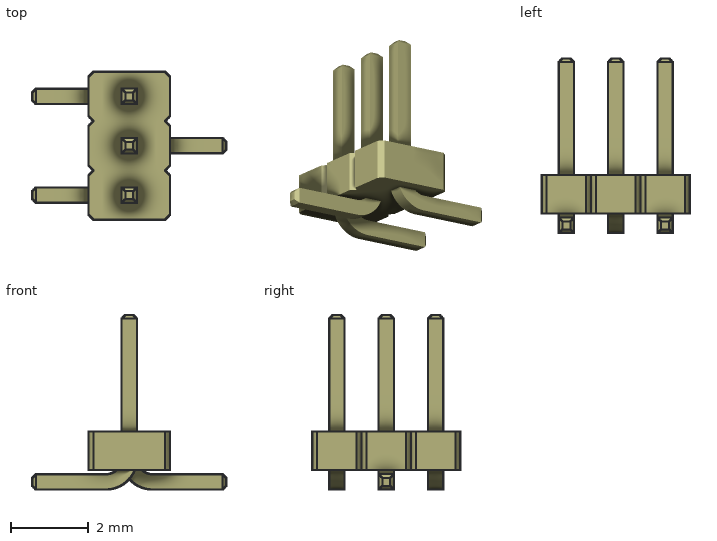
import cadquery as cq

pin_count = 3
pitch = 1.27
housing_width = 2.1
housing_height = 1.0
standoff = 0.5
cell_chamfer = 0.127

pin_size = 0.4
tip_chamfer = 0.1
overall_height = 4.5
foot_span = 5.0
bend_inner_radius = 0.4

bend_mid_radius = bend_inner_radius + pin_size / 2


def make_cell(y):
    """Housing block around one pin, with its four vertical edges chamfered."""
    return (
        cq.Workplane("XY")
        .box(housing_width, pitch, housing_height, centered=(True, True, False))
        .edges("|Z")
        .chamfer(cell_chamfer)
        .translate((0, y, standoff))
    )


def make_pin(y, side):
    """L-shaped pin at the given Y, its foot pointing to +X (side = 1) or -X (side = -1)."""
    foot_z = pin_size / 2
    foot_end = foot_span / 2
    path = (
        cq.Workplane("XZ")
        .moveTo(0, overall_height)
        .lineTo(0, foot_z + bend_mid_radius)
        .radiusArc((side * bend_mid_radius, foot_z), -side * bend_mid_radius)
        .lineTo(side * foot_end, foot_z)
    )
    pin = cq.Workplane("XY", origin=(0, 0, overall_height)).rect(pin_size, pin_size).sweep(path)
    foot_face = ">X" if side > 0 else "<X"
    pin = pin.faces(">Z").chamfer(tip_chamfer)
    pin = pin.faces(foot_face).chamfer(tip_chamfer)
    return pin.translate((0, y, 0))


pin_positions = [(i - (pin_count - 1) / 2) * pitch for i in range(pin_count)]

result = make_cell(pin_positions[0])
for y in pin_positions[1:]:
    result = result.union(make_cell(y))

for index, y in enumerate(pin_positions):
    side = -1 if index % 2 == 0 else 1
    result = result.union(make_pin(y, side))